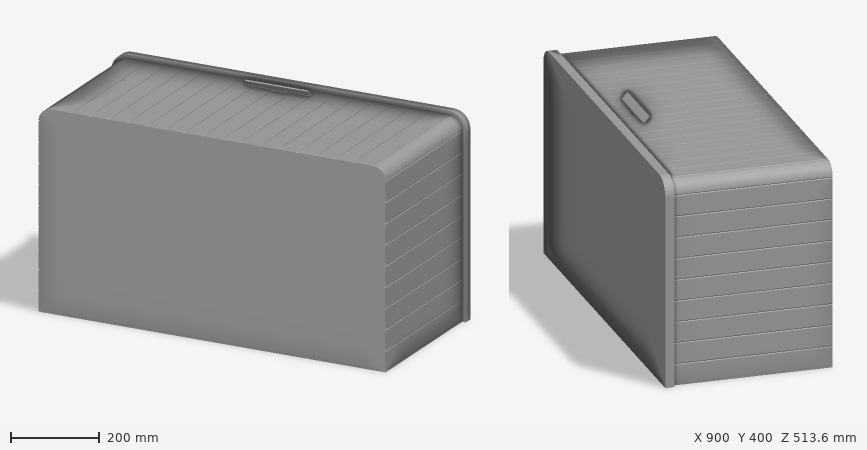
import cadquery as cq
import math

door_width = 900.0
door_height = 500.0
door_thickness = 22.0
door_radius = 42.0

cabinet_depth = 400.0
door_margin = 9.85
back_y = cabinet_depth / 2
front_y = -cabinet_depth / 2
body_back_y = back_y - door_thickness
body_depth = body_back_y - front_y
body_half_width = door_width / 2 - door_margin
body_height = door_height - door_margin

inner_half_width = 405.6
side_radius = 32.0
side_flat_height = body_height - side_radius
top_thickness = 16.0
front_thickness = top_thickness
front_height = body_height - top_thickness

groove_width = 4.0
groove_depth = 2.0
top_plank_count = 17
side_plank_count = 9
top_plank_pitch = 2 * inner_half_width / top_plank_count
side_plank_pitch = side_flat_height / side_plank_count

sheet_thickness = 3.0
grip_width = 158.0
tab_width = 36.0
handle_back_y = 133.0
lip_z = 497.0
bend_z = 499.0
bend_radius = 3.0
handle_top = 513.59
grip_angle = math.radians(48.0)


def box_between(x_min, x_max, y_min, y_max, z_min, z_max):
    size = (x_max - x_min, y_max - y_min, z_max - z_min)
    return cq.Workplane("XY").box(*size, centered=False).translate((x_min, y_min, z_min))


def groove_cutter(x, z, turn):
    """V bar along Y with its mouth centred at (x, z); it points down before the turn about Y."""
    half = groove_width / 2
    profile = [
        (-half, 0),
        (-half, groove_depth),
        (half, groove_depth),
        (half, 0),
        (0, -groove_depth),
    ]
    return (
        cq.Workplane("XZ", origin=(0, body_back_y, 0))
        .polyline(profile)
        .close()
        .extrude(body_depth)
        .rotate((0, 0, 0), (0, 1, 0), turn)
        .translate((x, 0, z))
    )


def make_door():
    door = box_between(-door_width / 2, door_width / 2, body_back_y, back_y, 0, door_height)
    return door.edges("|Y and >Z").fillet(door_radius)


def make_left_side():
    side = box_between(-body_half_width, -inner_half_width, front_y, body_back_y, 0, body_height)
    side = side.edges("|Y and >Z and <X").fillet(side_radius)
    for i in range(1, side_plank_count + 1):
        side = side.cut(groove_cutter(-body_half_width, i * side_plank_pitch, -90))
    return side.cut(groove_cutter(-inner_half_width, body_height, 0))


def make_top():
    top = box_between(
        -inner_half_width, inner_half_width, front_y, body_back_y, front_height, body_height
    )
    for i in range(top_plank_count + 1):
        groove_x = -inner_half_width + i * top_plank_pitch
        top = top.cut(groove_cutter(groove_x, body_height, 0))
    return top


def make_front():
    return box_between(
        -inner_half_width, inner_half_width, front_y, front_y + front_thickness, 0, front_height
    )


def make_handle():
    """Sheet that rises from its lip, then leans forward; the tab joins it to the top."""
    lean_y = math.cos(grip_angle)
    lean_z = math.sin(grip_angle)
    tip_y = handle_back_y - (handle_top - bend_z) * lean_y / lean_z
    inner_y = handle_back_y - sheet_thickness
    mitre_drop = sheet_thickness * math.tan((math.pi / 2 - grip_angle) / 2)
    grip = (
        cq.Workplane("YZ", origin=(-grip_width / 2, 0, 0))
        .moveTo(handle_back_y, lip_z)
        .lineTo(handle_back_y, bend_z)
        .lineTo(tip_y, handle_top)
        .lineTo(tip_y - sheet_thickness * lean_z, handle_top - sheet_thickness * lean_y)
        .lineTo(inner_y, bend_z - mitre_drop)
        .lineTo(inner_y, lip_z)
        .close()
        .extrude(grip_width)
    )
    outer_bend = cq.selectors.NearestToPointSelector((0, handle_back_y, bend_z))
    grip = grip.edges(outer_bend).fillet(bend_radius)
    tab = box_between(-tab_width / 2, tab_width / 2, inner_y, handle_back_y, body_height, lip_z)
    return grip.union(tab)


door = make_door()
left_side = make_left_side()
right_side = left_side.mirror("YZ")
top = make_top()
front = make_front()
handle = make_handle()

result = cq.Compound.makeCompound(
    [
        door.solids().val(),
        left_side.solids().val(),
        right_side.solids().val(),
        top.solids().val(),
        front.solids().val(),
        handle.solids().val(),
    ]
)